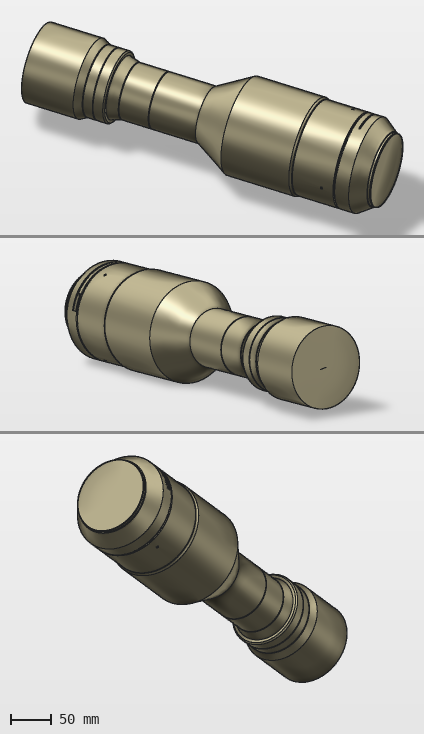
import cadquery as cq
import math

length = 470.5

drum_radius = 52.0
dome_radius = 49.5
dome_height = 0.3
drum_end = 70.0

collar_radius = 47.0
collar_start = 80.0
collar_joint = 94.0
collar_end = 109.5
collar_chamfer = 2.0

neck_radius = 37.0
neck_cone_radius = 41.5
neck_start = 124.0
neck_seam = 165.0
neck_end = 228.5

barrel_radius = 64.0
barrel_start = 275.0
barrel_end = 367.0
barrel_step_end = 369.5

ring_radius = 62.0
groove_start = 425.5
groove_end = 428.0
groove_depth = 3.0
ring_end = 447.0

nose_radius = 50.5
nose_end = 463.5
nose_rim_radius = 49.0
nose_rim_end = 465.5
lip_radius = 47.5
lip_seam = 469.0

seam_width = 1.0
seam_depth = 0.3

pin_hole_radius = 1.5
pin_hole_depth = 3.8
pin_hole_x = 410.0
pin_hole_count = 3
pin_hole_first_angle = 180.0

track_depth = 1.5
slit_x = 435.5
slit_width = 1.5
slit_end_angle = 95.0
pocket_x = 432.5
pocket_width = 6.5
pocket_start_angle = 8.0
pocket_end_angle = 29.0


def turned_body():
    """Solid of revolution with all the main diameters."""
    groove_radius = ring_radius - groove_depth
    return (
        cq.Workplane("XY")
        .moveTo(0, 0)
        .threePointArc((dome_height / 4, dome_radius / 2), (dome_height, dome_radius))
        .lineTo(dome_height, drum_radius)
        .lineTo(drum_end, drum_radius)
        .lineTo(collar_start, collar_radius)
        .lineTo(collar_end - collar_chamfer, collar_radius)
        .lineTo(collar_end, collar_radius - collar_chamfer)
        .lineTo(collar_end, neck_cone_radius)
        .lineTo(neck_start, neck_radius)
        .lineTo(neck_end, neck_radius)
        .lineTo(barrel_start, barrel_radius)
        .lineTo(barrel_end, barrel_radius)
        .lineTo(barrel_step_end, ring_radius)
        .lineTo(groove_start, ring_radius)
        .lineTo(groove_start, groove_radius)
        .lineTo(groove_end, groove_radius)
        .lineTo(groove_end, ring_radius)
        .lineTo(ring_end, ring_radius)
        .lineTo(nose_end, nose_radius)
        .lineTo(nose_rim_end, nose_rim_radius)
        .lineTo(nose_rim_end, lip_radius)
        .lineTo(length, lip_radius)
        .lineTo(length, 0)
        .close()
        .revolve(360, (0, 0, 0), (1, 0, 0))
    )


def seam_groove(x, radius):
    """Shallow ring cutter centred at x on a cylinder of the given radius."""
    return (
        cq.Workplane("YZ", origin=(x - seam_width / 2, 0, 0))
        .circle(radius + seam_depth)
        .circle(radius - seam_depth)
        .extrude(seam_width)
    )


def turned_to(shape, angle):
    """Turn a shape round the X axis."""
    return shape.rotate((0, 0, 0), (1, 0, 0), angle)


def radial_plug(x, radius, depth):
    """Round cutter sunk into the front ring on its +Y side."""
    return (
        cq.Workplane("XZ", origin=(x, ring_radius + depth, 0))
        .circle(radius)
        .extrude(2 * depth)
    )


def track_arc(x, width, start_angle, end_angle):
    """Cutter for a circumferential track of the given width."""
    arc = (
        cq.Workplane("XY")
        .center(x, ring_radius)
        .rect(width, 2 * track_depth)
        .revolve(end_angle - start_angle, (0, -ring_radius, 0), (1, -ring_radius, 0))
    )
    return turned_to(arc, start_angle)


result = turned_body()

seams = [
    (collar_start + seam_width / 2, collar_radius),
    (collar_joint, collar_radius),
    (neck_start + seam_width / 2, neck_radius),
    (neck_seam, neck_radius),
    (barrel_step_end + seam_width / 2, ring_radius),
    (lip_seam, lip_radius),
]
for seam_x, seam_radius in seams:
    result = result.cut(seam_groove(seam_x, seam_radius))

pin_hole = radial_plug(pin_hole_x, pin_hole_radius, pin_hole_depth)
for i in range(pin_hole_count):
    pin_hole_angle = pin_hole_first_angle + i * 360 / pin_hole_count
    result = result.cut(turned_to(pin_hole, pin_hole_angle))

round_angle = pocket_end_angle - math.degrees(pocket_width / 2 / ring_radius)
pocket_round = radial_plug(pocket_x, pocket_width / 2, track_depth)
result = result.cut(track_arc(slit_x, slit_width, round_angle, slit_end_angle))
result = result.cut(track_arc(pocket_x, pocket_width, pocket_start_angle, round_angle))
result = result.cut(turned_to(pocket_round, round_angle))